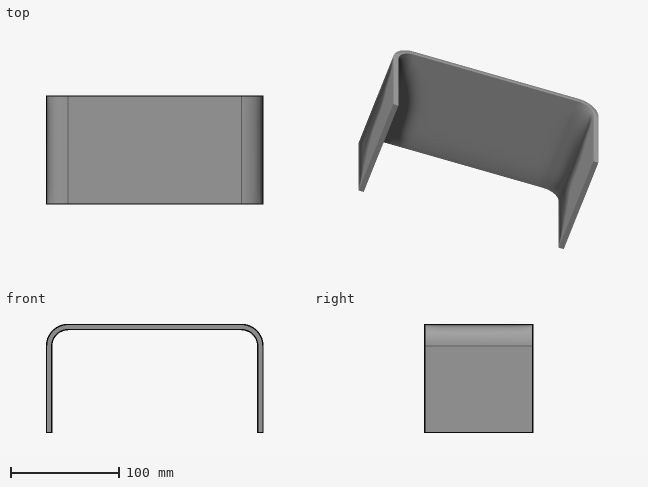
import cadquery as cq

length = 200.0
width = 100.0
height = 100.0

thickness = 5.0
outer_radius = 20.0
inner_radius = outer_radius - thickness


def arch(span, rise, corner_radius):
    """Block standing on Z = 0, centred in X and Y, with its two top edges along Y rounded."""
    block = cq.Workplane("XY").box(span, width, rise, centered=(True, True, False))
    return block.edges("|Y and >Z").fillet(corner_radius)


outer_arch = arch(length, height, outer_radius)
inner_arch = arch(length - 2 * thickness, height - thickness, inner_radius)
result = outer_arch.cut(inner_arch)